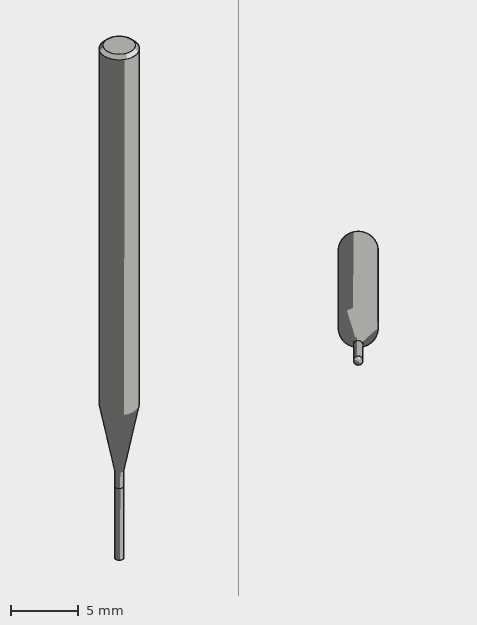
import cadquery as cq
import math

total_length = 46.0

shank_diameter = 3.0
shank_radius = shank_diameter / 2
shank_chamfer = 0.3
taper_start_height = 13.95
neck_top_height = 8.0
neck_radius = 0.345

bit_length = 6.62
bit_radius = 0.345
point_angle = 118.0
point_height = bit_radius / math.tan(math.radians(point_angle / 2))


def revolve_profile(plane, points):
    """Turn a closed (radius, height) profile through a full circle about the Z axis."""
    return cq.Workplane(plane).polyline(points).close().revolve(360, (0, 0, 0), (0, 1, 0))


def make_shank():
    """Chamfered shank that tapers down to the neck above the bit."""
    return revolve_profile("YZ", [
        (0, bit_length),
        (neck_radius, bit_length),
        (neck_radius, neck_top_height),
        (shank_radius, taper_start_height),
        (shank_radius, total_length - shank_chamfer),
        (shank_radius - shank_chamfer, total_length),
        (0, total_length),
    ])


def make_bit():
    """Bit that stands point down, with its flat end against the neck."""
    return revolve_profile("XZ", [
        (0, 0),
        (bit_radius, point_height),
        (bit_radius, bit_length),
        (0, bit_length),
    ])


shank = make_shank()
bit = make_bit()

result = cq.Compound.makeCompound([shank.val(), bit.val()])